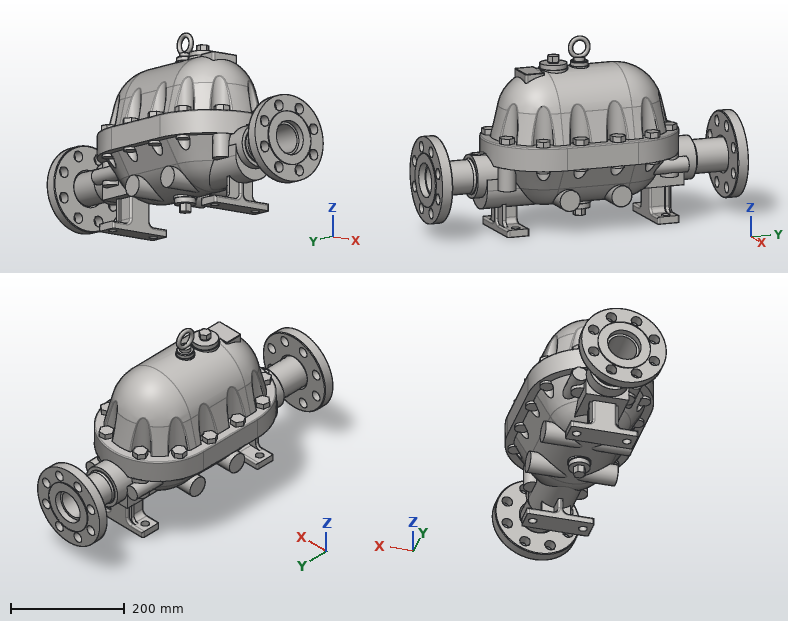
import cadquery as cq
import math

half_length = 292.0
end_centre_y = 67.5

joint_radius = 112.5
joint_top = 64.0
joint_bottom = 22.0
joint_edge_radius = 2.0

dome_draft = math.radians(14)
crown_radius = 84.0
dome_top = 182.5

bowl_draft = math.radians(31)
bowl_radius = 84.0
bowl_bottom = -60.5

bolt_circle_radius = 96.0
bolt_side_y = 35.0
bolt_end_angles = (22.0, 64.0)
bolt_head_flats = 24.0
bolt_head_height = 10.0
bolt_pocket_radius = 19.0
pocket_rim_radius = 2.5
nut_pocket_diameter = 25.0
nut_pad_diameter = 24.0
nut_pad_bottom = 17.0

hub_diameter = 78.0
hub_end = 207.0
socket_diameter = 61.1
socket_depth = 16.0

pipe_diameter = 60.5
pipe_bore = 52.0
weld_length = 5.0
weld_base_diameter = 65.0
flange_diameter = 155.0
flange_thickness = 20.0
raised_face_diameter = 96.0
raised_face_height = 2.0
flange_bolt_circle = 120.0
flange_hole_diameter = 19.0
flange_hole_count = 8
flange_edge_chamfer = 1.5
bore_back_chamfer = 3.0
pipe_recess = 12.0

side_boss_diameter = 38.0
side_boss_y = 49.0
side_boss_z = -41.0
side_boss_reach = 80.0

column_diameter = 32.0
column_bottom = -20.0

block_half_width = 39.5
block_round_z = -20.0
block_end = 190.0
hub_pad_width = 15.0
hub_pad_top = 40.5
hub_pad_end = 205.0

box_half_width = 39.0
box_bottom = -40.0
box_end = 183.0
bar_diameter = 28.0
bar_x = 50.0

foot_height = 102.0
foot_width = 41.0
foot_half_span = 61.0
foot_thickness = 13.0
foot_top = -39.0
inlet_web_half_width = 21.5
outlet_web_half_width = 4.5
foot_edge_radius = 3.5
foot_rib_half_width = 26.0
foot_rib_thickness = 7.0
foot_inlet_rib_y = 156.5
foot_outlet_rib_y = -152.5
foot_fillet = 10.0
foot_hole_diameter = 15.0
foot_hole_x = 46.0
foot_inlet_y = 145.5
foot_outlet_y = -139.0

plate_half_width = 27.5
plate_near_y = -112.0
plate_far_y = -76.0
plate_top = 181.5
plate_bottom = 150.0
plate_corner_radius = 3.5
plate_edge_chamfer = 1.0

top_plug_y = -49.0
top_boss_diameter = 52.0
top_boss_top = 183.5
top_plug_diameter = 48.0
top_plug_top = 192.0
bottom_boss_diameter = 41.0
bottom_boss_bottom = -62.5
bottom_plug_diameter = 38.0
bottom_plug_bottom = -72.0
plug_neck_diameter = 18.0
plug_neck_height = 2.0
plug_hex_flats = 19.0
top_hex_height = 11.0
bottom_hex_height = 14.0

eye_outer_diameter = 41.0
eye_wire_diameter = 8.0
eye_top = 236.0
eye_neck_diameter = 20.0
eye_collar_diameter = 31.5
eye_collar_top = 192.0
eye_collar_chamfer = 1.5
eye_base_diameter = 34.0
eye_base_top = 184.0


def stadium(radius, z_from, z_to):
    """Slab with two round ends about the end centres."""
    return (
        cq.Workplane("XY", origin=(0, 0, z_from))
        .slot2D(2 * (radius + end_centre_y), 2 * radius, 90)
        .extrude(z_to - z_from)
    )


def upright(diameter, x, y, z_from, z_to):
    """Vertical cylinder."""
    return cq.Workplane("XY", origin=(x, y, z_from)).circle(diameter / 2).extrude(z_to - z_from)


def hexagon(flats, x, y, z_from, height, turn):
    """Vertical hexagonal prism; with no turn its corners point along X."""
    across_corners = flats / math.cos(math.radians(30))
    prism = cq.Workplane("XY").polygon(6, across_corners).extrude(height)
    return prism.rotate((0, 0, 0), (0, 0, 1), turn).translate((x, y, z_from))


def along_y(diameter, y_from, y_to, x=0.0, z=0.0):
    """Horizontal cylinder parallel to the pipes."""
    return cq.Workplane("XZ", origin=(x, y_from, z)).circle(diameter / 2).extrude(y_from - y_to)


def domed_shell(draft, round_radius, rim_z, tip_z):
    """Half shell from a flat rim to a round crown at tip_z (above or below the rim).

    A straight drafted wall runs from the rim to the crown arc and is tangent to it. The half
    profile is swept along Y between the end centres and revolved about each of them.
    """
    up = math.copysign(1, tip_z - rim_z)
    arc_centre_z = tip_z - up * round_radius
    tangent_radius = round_radius * math.cos(draft)
    tangent_z = arc_centre_z + up * round_radius * math.sin(draft)
    rim_radius = tangent_radius + abs(tangent_z - rim_z) * math.tan(draft)
    middle = (math.pi / 2 + draft) / 2
    middle_point = (
        round_radius * math.cos(middle),
        arc_centre_z + up * round_radius * math.sin(middle),
    )
    half_profile = (
        cq.Workplane("XZ")
        .moveTo(0, rim_z)
        .lineTo(rim_radius, rim_z)
        .lineTo(tangent_radius, tangent_z)
        .threePointArc(middle_point, (0, tip_z))
        .close()
    )
    straight = half_profile.extrude(end_centre_y, both=True)
    end = half_profile.toPending().revolve(360, (0, 0, 0), (0, 1, 0))
    return (
        straight
        .union(straight.mirror("YZ"))
        .union(end.translate((0, end_centre_y, 0)))
        .union(end.translate((0, -end_centre_y, 0)))
    )


def bolt_places():
    """(x, y, turn of the hexagon) of every joint bolt."""
    places = []
    for side_x in (-1, 1):
        for side_y in (-1, 1):
            places.append((side_x * bolt_circle_radius, side_y * bolt_side_y, 0))
            for angle in bolt_end_angles:
                x = bolt_circle_radius * math.cos(math.radians(angle))
                y = bolt_circle_radius * math.sin(math.radians(angle)) + end_centre_y
                places.append((side_x * x, side_y * y, side_x * side_y * angle))
    return places


def make_dome():
    dome = domed_shell(dome_draft, crown_radius, joint_top, dome_top)
    for x, y, _ in bolt_places():
        dome = dome.cut(upright(2 * bolt_pocket_radius, x, y, joint_top, dome_top))
    above_joint = cq.selectors.BoxSelector(
        (-joint_radius, -half_length, joint_top + pocket_rim_radius),
        (joint_radius, half_length, dome_top),
    )
    rims = dome.edges(above_joint).edges("not(%LINE or %CIRCLE)")
    return rims.fillet(pocket_rim_radius)


def make_bowl():
    bowl = domed_shell(bowl_draft, bowl_radius, joint_bottom, bowl_bottom)
    for x, y, _ in bolt_places():
        bowl = bowl.cut(upright(nut_pocket_diameter, x, y, bowl_bottom, nut_pad_bottom))
        bowl = bowl.union(upright(nut_pad_diameter, x, y, nut_pad_bottom, joint_bottom))
    return bowl


def foot_slice(web_half_width, y, thickness, web_top):
    """Foot plate with an upright web on it, flared at the root, as a slab centred on y."""
    ground = -foot_height
    plate_top_z = ground + foot_thickness
    flare = web_half_width + foot_fillet
    flare_top = plate_top_z + foot_fillet
    return (
        cq.Workplane("XZ", origin=(0, y + thickness / 2, 0))
        .moveTo(-foot_half_span, ground)
        .lineTo(foot_half_span, ground)
        .lineTo(foot_half_span, plate_top_z)
        .lineTo(flare, plate_top_z)
        .radiusArc((web_half_width, flare_top), foot_fillet)
        .lineTo(web_half_width, web_top)
        .lineTo(-web_half_width, web_top)
        .lineTo(-web_half_width, flare_top)
        .radiusArc((-flare, plate_top_z), foot_fillet)
        .lineTo(-foot_half_span, plate_top_z)
        .close()
        .extrude(thickness)
    )


def make_foot(y, web_half_width, rib_y):
    foot = foot_slice(web_half_width, y, foot_width, foot_top).edges("|Z").fillet(foot_edge_radius)
    foot = foot.union(foot_slice(foot_rib_half_width, rib_y, foot_rib_thickness, foot_top))
    for x in (-foot_hole_x, foot_hole_x):
        foot = foot.cut(upright(foot_hole_diameter, x, y, -foot_height, foot_thickness - foot_height))
    return foot


def make_inlet_end():
    box = (
        cq.Workplane("XZ", origin=(0, end_centre_y, box_bottom / 2))
        .rect(2 * box_half_width, -box_bottom)
        .extrude(end_centre_y - box_end)
    )
    for x in (-bar_x, bar_x):
        box = box.union(along_y(bar_diameter, end_centre_y, box_end, x=x))
    return box


def make_outlet_end():
    block = along_y(2 * block_half_width, -block_end, -end_centre_y, z=block_round_z)
    upper = (
        cq.Workplane("XZ", origin=(0, -end_centre_y, block_round_z / 2))
        .rect(2 * block_half_width, -block_round_z)
        .extrude(block_end - end_centre_y)
    )
    pad = (
        cq.Workplane("XY")
        .center(0, -hub_pad_end / 2)
        .slot2D(hub_pad_end, hub_pad_width, 90)
        .extrude(hub_pad_top)
    )
    return block.union(upper).union(pad)


def make_casting():
    casting = stadium(joint_radius, joint_bottom, joint_top).faces(">Z").edges().fillet(joint_edge_radius)
    casting = casting.union(make_dome()).union(make_bowl())

    for x, y, turn in bolt_places():
        casting = casting.union(hexagon(bolt_head_flats, x, y, joint_top, bolt_head_height, turn))

    for y in (-side_boss_y, side_boss_y):
        boss = (
            cq.Workplane("YZ", origin=(-side_boss_reach, y, side_boss_z))
            .circle(side_boss_diameter / 2)
            .extrude(2 * side_boss_reach)
        )
        casting = casting.union(boss)

    casting = casting.union(along_y(hub_diameter, -hub_end, hub_end))
    casting = casting.union(make_inlet_end()).union(make_outlet_end())
    end_angle = math.radians(bolt_end_angles[-1])
    column_x = bolt_circle_radius * math.cos(end_angle)
    column_y = bolt_circle_radius * math.sin(end_angle) + end_centre_y
    for x in (-column_x, column_x):
        for y in (-column_y, column_y):
            casting = casting.union(upright(column_diameter, x, y, column_bottom, joint_bottom))
    casting = casting.union(make_foot(foot_inlet_y, inlet_web_half_width, foot_inlet_rib_y))
    casting = casting.union(make_foot(foot_outlet_y, outlet_web_half_width, foot_outlet_rib_y))

    plate = (
        cq.Workplane("XY", origin=(0, (plate_near_y + plate_far_y) / 2, plate_bottom))
        .rect(2 * plate_half_width, plate_far_y - plate_near_y)
        .extrude(plate_top - plate_bottom)
        .edges("|Z")
        .fillet(plate_corner_radius)
        .faces(">Z")
        .edges()
        .chamfer(plate_edge_chamfer)
    )
    casting = casting.union(plate)

    casting = (
        casting
        .union(upright(top_boss_diameter, 0, top_plug_y, joint_top, top_boss_top))
        .union(upright(top_plug_diameter, 0, top_plug_y, top_boss_top, top_plug_top))
        .union(upright(plug_neck_diameter, 0, top_plug_y, top_plug_top, top_plug_top + plug_neck_height))
        .union(hexagon(plug_hex_flats, 0, top_plug_y, top_plug_top + plug_neck_height, top_hex_height, 30))
        .union(upright(bottom_boss_diameter, 0, 0, bottom_boss_bottom, 0))
        .union(upright(bottom_plug_diameter, 0, 0, bottom_plug_bottom, 0))
        .union(hexagon(plug_hex_flats, 0, 0, bottom_plug_bottom - bottom_hex_height, bottom_hex_height, 0))
    )

    ring_radius = (eye_outer_diameter - eye_wire_diameter) / 2
    eye_centre_z = eye_top - eye_outer_diameter / 2
    ring = cq.Solid.makeTorus(
        ring_radius, eye_wire_diameter / 2, cq.Vector(0, 0, eye_centre_z), cq.Vector(1, 0, 0)
    )
    collar = upright(eye_collar_diameter, 0, 0, joint_top, eye_collar_top)
    collar = collar.faces(">Z").edges().chamfer(eye_collar_chamfer)
    casting = (
        casting
        .union(upright(eye_base_diameter, 0, 0, joint_top, eye_base_top))
        .union(collar)
        .union(upright(eye_neck_diameter, 0, 0, eye_collar_top, eye_centre_z - ring_radius))
        .union(cq.Workplane(ring))
    )

    for side in (-1, 1):
        casting = casting.cut(along_y(socket_diameter, side * (hub_end - socket_depth), side * hub_end))
    return casting


def make_pipe(side):
    inner_end = side * (hub_end - socket_depth)
    outer_end = side * (half_length - pipe_recess)
    return along_y(pipe_diameter, inner_end, outer_end).cut(along_y(pipe_bore, inner_end, outer_end))


def make_weld(side):
    weld = (
        cq.Workplane("XY")
        .moveTo(pipe_diameter / 2, side * hub_end)
        .lineTo(weld_base_diameter / 2, side * hub_end)
        .lineTo(pipe_diameter / 2, side * (hub_end + weld_length))
        .close()
        .revolve(360, (0, 0, 0), (0, 1, 0))
    )
    return weld


def make_flange(side):
    face = half_length - raised_face_height
    back = face - flange_thickness
    disc = along_y(flange_diameter, back, face).faces("<Y").edges().chamfer(flange_edge_chamfer)
    flange = disc.union(along_y(raised_face_diameter, face, half_length))
    flange = flange.cut(along_y(socket_diameter, back, half_length))
    flange = flange.faces("<Y").edges("%CIRCLE").edges(cq.selectors.RadiusNthSelector(0)).chamfer(bore_back_chamfer)
    for index in range(flange_hole_count):
        angle = 2 * math.pi * (index + 0.5) / flange_hole_count
        x = flange_bolt_circle / 2 * math.cos(angle)
        z = flange_bolt_circle / 2 * math.sin(angle)
        flange = flange.cut(along_y(flange_hole_diameter, back, face, x, z))
    return flange if side > 0 else flange.mirror("XZ")


casting = make_casting()
bodies = [casting.val()]
for side in (-1, 1):
    bodies.append(make_pipe(side).val())
    bodies.append(make_weld(side).val())
    bodies.append(make_flange(side).val())

result = cq.Compound.makeCompound(bodies)